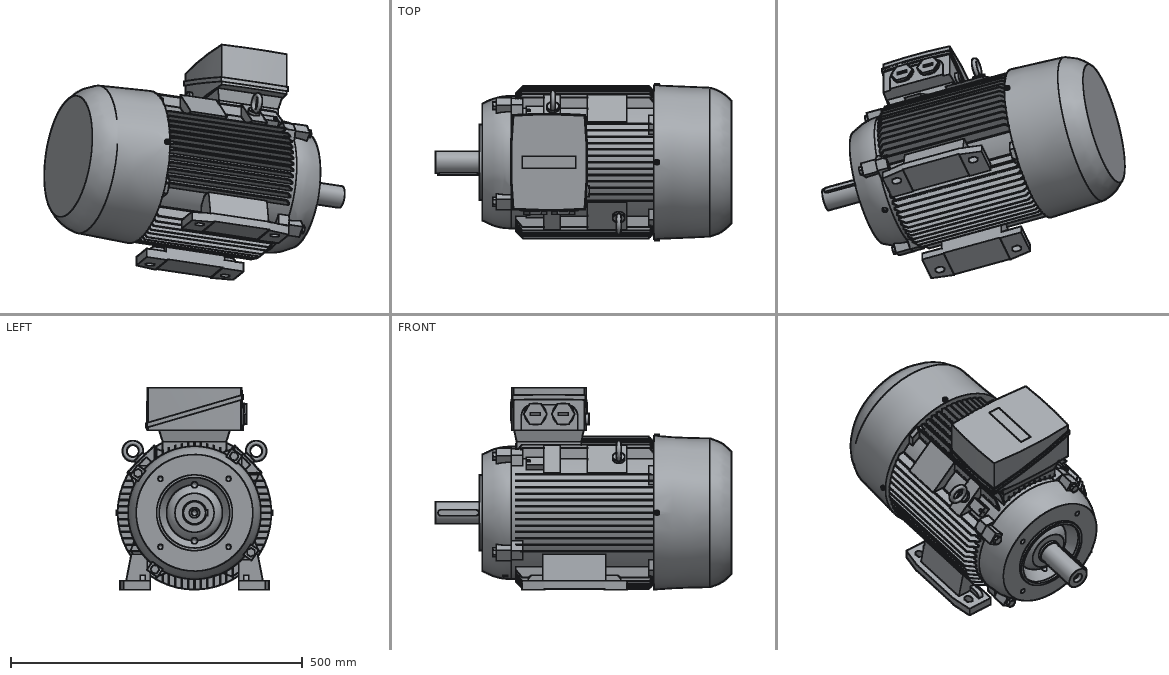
import cadquery as cq
import math


shaft_length = 80.0
shaft_radius = 19.0
shaft_collar_radius = 20.5
shaft_height = 132.0
shield_end = 50.5
housing_end = 294.5
cover_end = 428.0
core_radius = 114.0

flange_radius = 100.0
shield_mid_x = 24.3
shield_mid_radius = 110.5
spigot_radius = 65.0
spigot_height = 4.5
recess_mouth_radius = 60.5
recess_root_radius = 48.0
recess_depth = 20.0
recess_mouth_depth = 0.5
hub_bulge = 3.0
hub_radius = 33.5
hub_face_x = 5.0
flange_hole_diameter = 8.5
flange_hole_circle = 82.5
flange_hole_depth = 20.0
drain_hole_diameter = 9.0
drain_hole_x = 40.0
drain_hole_angle = -107.0
drain_hole_floor_radius = 106.0
recess_hole_diameter = 10.5
recess_hole_start = 8.0
recess_hole_depth = 28.0

lug_radius = 118.3
shield_lug_width = 22.0
housing_lug_tip_width = 19.0
housing_lug_flank_angle = 35.0
lug_tip_radius = 127.0
lug_root_radius = 90.0
front_lug_angle = 35.0
rear_lug_angle = 90.0 - front_lug_angle
front_lug_length = 19.6
rear_lug_length = 9.0
bolt_head_across_corners = 15.0
bolt_head_height = 5.8

fin_radius = 129.0
tall_fin_radius = 131.0
fin_thickness = 1.8
fin_pitch = 10.95
tall_fins_each_side = 1
fins_each_side = 6
fin_start = 57.6
fin_front_radius = 118.0
fin_rear_radius = 122.0

foot_plate_start = 68.2
foot_plate_length = 180.8
foot_plate_inner_y = 75.5
foot_plate_outer_y = 128.0
foot_plate_end_y = 121.4
foot_plate_thickness = 15.6
foot_block_start = 104.0
foot_block_end = 212.5
foot_block_top_z = -71.0
foot_block_top_y = 108.5
foot_block_bottom_y = 117.4
foot_relief_start = 107.5
foot_relief_end = 210.0
foot_relief_depth = 1.5
foot_hole_first_x = 89.0
foot_hole_spacing = 140.0
foot_hole_y = 108.0
foot_hole_diameter = 12.0
foot_hole_length = 16.0
foot_rib_inset = 11.0
foot_rib_height = 9.4
foot_rib_thickness = 8.6
foot_rib_inner_y = 84.6
foot_rib_end_radius = 8.5

pad_inner = 69.0
pad_outer = 115.5
pad_spans = [(106.0, 134.5), (180.7, 248.5)]
pad_face_distance = (pad_inner + pad_outer) / math.sqrt(2)
eye_ring_radius = 14.0
eye_wire_radius = 4.0
eye_center_distance = 149.6
eye_collar_radius = 10.4
eye_collar_thickness = 5.5
eye_left_x = 121.6
eye_right_x = 234.4
earth_block_start = 75.5
earth_block_end = pad_spans[0][0]
earth_block_face_distance = 125.9
earth_block_width = 18.6
earth_block_root_distance = 105.0
earth_hole_x = 80.0
earth_hole_diameter = 5.0
earth_hole_depth = 8.0

box_center_x = 114.8
box_half_x = 64.6
box_half_y = 81.6
box_bow_x = 4.0
box_bow_y = 2.2
box_top_z = 214.5
box_bottom_z = 141.3
neck_bottom_z = 121.5
neck_start_x = 59.4
neck_end_x = 170.0
neck_half_y = 54.6
neck_flare_x = 4.6
neck_flare_y = 6.2
rim_thickness = 8.0
rim_overhang = 1.8
rim_high_z = 202.5
rim_low_z = 153.6
label_length = 91.0
label_width = 20.6
label_depth = 0.5
gland_plate_start_x = 67.5
gland_plate_end_x = 164.0
gland_plate_top_z = 185.5
gland_plate_corner_radius = 20.0
gland_plate_face_y = -83.5
plug_centers_x = (91.5, 139.2)
plug_center_z = 169.3
plug_across_flats = 34.5
plug_washer_radius = 18.5
plug_washer_height = 1.5
plug_height = 6.0
plug_slot_length = 17.0
plug_slot_width = 4.0
plug_slot_depth = 2.0
side_plug_radius = 9.5
side_plug_y = -50.0
side_plug_z = 160.8
side_plug_end_x = 183.5

cover_front_radius = 132.0
cover_bend_x = 390.5
cover_bend_radius = 128.0
cover_end_radius = 105.0
cover_bulge = 3.2
cover_screw_x = 300.0
cover_screw_radius = 4.2
cover_screw_tip = 134.5
cover_screw_socket_across = 4.5
cover_screw_socket_depth = 1.5

center_hole_diameter = 10.2
center_hole_depth = 30.0
center_sink_diameter = 17.5
center_sink_depth = 6.0
key_length = 70.0
key_width = 10.0
key_height = 8.0
key_start = -75.5
key_top_radius = 22.3


def revolve_about_shaft(profile):
    """Revolve a closed (x, radius) profile about the X axis."""
    return profile.revolve(360, (0, 0, 0), (1, 0, 0))


def disc_along_x(radius, start, end, y=0.0, z=0.0):
    return cq.Workplane("YZ", origin=(start, y, z)).circle(radius).extrude(end - start)


def box_between(x_range, y_range, z_range):
    """Axis-aligned block from three (low, high) ranges."""
    low, high = zip(x_range, y_range, z_range)
    size = [b - a for a, b in zip(low, high)]
    return cq.Workplane("XY", origin=low).box(*size, centered=False)


def turned(body, degrees):
    """Turn a body about the shaft axis, from +Y towards +Z."""
    return body.rotate((0, 0, 0), (1, 0, 0), degrees)


def both_sides(body):
    """A body on the +Y side together with its mirror image."""
    return body.union(body.mirror("XZ"))


def drilled_hole(diameter, start, depth, y, z):
    """Drill along +X with a 90 degree point at the bottom."""
    radius = diameter / 2
    profile = (
        cq.Workplane("XY")
        .moveTo(start, 0)
        .lineTo(start, radius)
        .lineTo(start + depth, radius)
        .lineTo(start + depth + radius, 0)
        .close()
    )
    return revolve_about_shaft(profile).translate((0, y, z))


def four_around(body, first_angle):
    """The body and its copies at quarter turns about the shaft axis."""
    group = turned(body, first_angle)
    for quarter in range(1, 4):
        group = group.union(turned(body, first_angle + 90 * quarter))
    return group


def make_shaft():
    shaft = disc_along_x(shaft_radius, -shaft_length, 0)
    shaft = shaft.union(disc_along_x(shaft_collar_radius, 0, shield_end))
    shaft = shaft.cut(drilled_hole(center_hole_diameter, -shaft_length, center_hole_depth, 0, 0))
    sink = cq.Solid.makeCone(
        center_sink_diameter / 2,
        center_hole_diameter / 2,
        center_sink_depth,
        cq.Vector(-shaft_length, 0, 0),
        cq.Vector(1, 0, 0),
    )
    key = (
        cq.Workplane("XZ", origin=(key_start + key_length / 2, -key_top_radius, 0))
        .slot2D(key_length, key_width)
        .extrude(-key_height)
    )
    return shaft.cut(cq.Workplane(sink)).union(key)


def make_end_shield():
    hub_mid_x = (hub_face_x + recess_depth - hub_bulge) / 2
    hub_mid_radius = (hub_radius + recess_root_radius + hub_bulge) / 2
    profile = (
        cq.Workplane("XY")
        .moveTo(shield_end, shaft_collar_radius)
        .lineTo(hub_face_x, shaft_collar_radius)
        .lineTo(hub_face_x, hub_radius)
        .threePointArc((hub_mid_x, hub_mid_radius), (recess_depth, recess_root_radius))
        .lineTo(recess_mouth_depth, recess_mouth_radius)
        .lineTo(-spigot_height, recess_mouth_radius)
        .lineTo(-spigot_height, spigot_radius)
        .lineTo(0, spigot_radius)
        .lineTo(0, flange_radius)
        .threePointArc((shield_mid_x, shield_mid_radius), (shield_end, core_radius))
        .close()
    )
    shield = revolve_about_shaft(profile)

    lug = box_between(
        (shield_mid_x, shield_end),
        (lug_root_radius, lug_tip_radius),
        (-shield_lug_width / 2, shield_lug_width / 2),
    )
    shield_lugs = four_around(lug, front_lug_angle)
    shield_lugs = shield_lugs.cut(disc_along_x(flange_radius, 0, shield_end))
    shield = shield.union(shield_lugs)

    bolt_head = (
        cq.Workplane("YZ", origin=(shield_mid_x, lug_radius, 0))
        .polygon(6, bolt_head_across_corners)
        .extrude(-bolt_head_height)
    )
    shield = shield.union(four_around(bolt_head, front_lug_angle))

    flange_hole = drilled_hole(flange_hole_diameter, 0, flange_hole_depth, flange_hole_circle, 0)
    shield = shield.cut(four_around(flange_hole, 45))

    drain_hole = (
        cq.Workplane("XZ", origin=(drain_hole_x, drain_hole_floor_radius, 0))
        .circle(drain_hole_diameter / 2)
        .extrude(drain_hole_floor_radius - core_radius)
    )
    shield = shield.cut(turned(drain_hole, drain_hole_angle))

    for side in (1, -1):
        z = side * recess_root_radius
        shield = shield.cut(
            drilled_hole(recess_hole_diameter, recess_hole_start, recess_hole_depth, 0, z)
        )
    return shield


def make_fins(fin_indices, tip_radius):
    """Parallel fins on all four sides, counted from the middle one, in a turned envelope."""
    middle = (fin_start + housing_end) / 2
    upright = (
        cq.Workplane("XY", origin=(middle, 0, 0))
        .pushPoints([(0, index * fin_pitch) for index in fin_indices])
        .box(housing_end - fin_start, fin_thickness, 2 * tip_radius)
    )
    level = turned(upright, 90)
    envelope = (
        cq.Workplane("XY")
        .moveTo(fin_start, 0)
        .lineTo(fin_start, fin_front_radius)
        .lineTo(fin_start + tip_radius - fin_front_radius, tip_radius)
        .lineTo(housing_end - (tip_radius - fin_rear_radius), tip_radius)
        .lineTo(housing_end, fin_rear_radius)
        .lineTo(housing_end, 0)
        .close()
    )
    return upright.union(level).intersect(revolve_about_shaft(envelope))


def make_housing_lugs(first_angle, start, length):
    """Four lugs that flare towards the housing core."""
    half_tip = housing_lug_tip_width / 2
    flare = (lug_tip_radius - lug_root_radius) * math.tan(math.radians(housing_lug_flank_angle))
    half_root = half_tip + flare
    lug = (
        cq.Workplane("YZ", origin=(start, 0, 0))
        .moveTo(lug_root_radius, -half_root)
        .lineTo(lug_tip_radius, -half_tip)
        .lineTo(lug_tip_radius, half_tip)
        .lineTo(lug_root_radius, half_root)
        .close()
        .extrude(length)
    )
    return four_around(lug, first_angle)


def make_foot():
    """Foot on the +Y side."""
    plate_end = foot_plate_start + foot_plate_length
    plate_top = -shaft_height + foot_plate_thickness
    plate = (
        cq.Workplane("XY", origin=(0, 0, -shaft_height))
        .moveTo(foot_plate_start, foot_plate_inner_y)
        .lineTo(foot_plate_start, foot_plate_end_y)
        .lineTo(foot_relief_start, foot_plate_outer_y)
        .lineTo(foot_relief_end, foot_plate_outer_y)
        .lineTo(plate_end, foot_plate_end_y)
        .lineTo(plate_end, foot_plate_inner_y)
        .close()
        .extrude(foot_plate_thickness)
    )
    relief = box_between(
        (foot_relief_start, foot_relief_end),
        (foot_plate_inner_y, foot_plate_outer_y),
        (-shaft_height, -shaft_height + foot_relief_depth),
    )
    holes = (
        cq.Workplane("XY", origin=(0, 0, -shaft_height))
        .pushPoints(
            [(foot_hole_first_x, foot_hole_y), (foot_hole_first_x + foot_hole_spacing, foot_hole_y)]
        )
        .slot2D(foot_hole_length, foot_hole_diameter)
        .extrude(foot_plate_thickness)
    )
    block = (
        cq.Workplane("YZ", origin=(foot_block_start, 0, 0))
        .moveTo(foot_plate_inner_y, plate_top)
        .lineTo(foot_block_bottom_y, plate_top)
        .lineTo(foot_block_top_y, foot_block_top_z)
        .lineTo(foot_plate_inner_y, foot_block_top_z)
        .close()
        .extrude(foot_block_end - foot_block_start)
    )
    rib = box_between(
        (foot_plate_start + foot_rib_inset, plate_end - foot_rib_inset),
        (foot_rib_inner_y, foot_rib_inner_y + foot_rib_thickness),
        (plate_top, plate_top + foot_rib_height),
    )
    rib = rib.edges("|Y and >Z").fillet(foot_rib_end_radius)
    return plate.cut(relief).cut(holes).union(block).union(rib)


def make_eye_pad(start, end):
    """Corner pad with a 45 degree face, on the +Y side."""
    return (
        cq.Workplane("YZ", origin=(start, 0, 0))
        .moveTo(pad_inner, pad_inner)
        .lineTo(pad_outer, pad_inner)
        .lineTo(pad_inner, pad_outer)
        .close()
        .extrude(end - start)
    )


def make_earth_block():
    """Earthing block on the +Y side, standing on the 45 degree diagonal."""
    half_width = earth_block_width / 2
    block = box_between(
        (earth_block_start, earth_block_end),
        (earth_block_root_distance, earth_block_face_distance),
        (-half_width, half_width),
    )
    hole = (
        cq.Workplane("XZ", origin=(earth_hole_x, earth_block_face_distance, 0))
        .circle(earth_hole_diameter / 2)
        .extrude(earth_hole_depth)
    )
    return turned(block.cut(hole), 45)


def make_housing():
    housing = disc_along_x(core_radius, shield_end, housing_end)
    all_fins = range(-fins_each_side, fins_each_side + 1)
    tall_fins = [index for index in all_fins if abs(index) <= tall_fins_each_side]
    low_fins = [index for index in all_fins if abs(index) > tall_fins_each_side]
    housing = housing.union(make_fins(low_fins, fin_radius))
    housing = housing.union(make_fins(tall_fins, tall_fin_radius))
    housing = housing.union(make_housing_lugs(front_lug_angle, shield_end, front_lug_length))
    rear_lug_start = housing_end - rear_lug_length
    housing = housing.union(make_housing_lugs(rear_lug_angle, rear_lug_start, rear_lug_length))
    box_seat = box_between(
        (neck_start_x, neck_end_x), (-neck_half_y, neck_half_y), (0, neck_bottom_z)
    )
    housing = housing.union(box_seat)
    for start, end in pad_spans:
        housing = housing.union(both_sides(make_eye_pad(start, end)))
    housing = housing.union(both_sides(make_earth_block()))
    housing = housing.union(both_sides(make_foot()))
    return housing.cut(make_neck())


def bowed_prism(overhang, bottom, top):
    """Upright prism whose four sides bulge gently outwards."""
    crown_x = box_half_x + overhang
    crown_y = box_half_y + overhang
    corner_x = crown_x - box_bow_x
    corner_y = crown_y - box_bow_y
    return (
        cq.Workplane("XY", origin=(box_center_x, 0, bottom))
        .moveTo(-corner_x, -corner_y)
        .threePointArc((0, -crown_y), (corner_x, -corner_y))
        .threePointArc((crown_x, 0), (corner_x, corner_y))
        .threePointArc((0, crown_y), (-corner_x, corner_y))
        .threePointArc((-crown_x, 0), (-corner_x, -corner_y))
        .close()
        .extrude(top - bottom)
    )


def make_sloping_rim():
    """Rim between lid and lower case, falling from the -Y side to the +Y side."""
    reach = box_half_y + rim_overhang
    slab = (
        cq.Workplane("YZ")
        .moveTo(-reach, rim_high_z)
        .lineTo(reach, rim_low_z)
        .lineTo(reach, rim_low_z - rim_thickness)
        .lineTo(-reach, rim_high_z - rim_thickness)
        .close()
        .extrude(2 * (box_center_x + box_half_x))
    )
    return bowed_prism(rim_overhang, box_bottom_z, box_top_z).intersect(slab)


def make_neck():
    """Flared neck that carries the box above its seat on the housing."""
    length = neck_end_x - neck_start_x
    middle = (neck_start_x + neck_end_x) / 2
    return (
        cq.Workplane("XY", origin=(middle, 0, neck_bottom_z))
        .rect(length, 2 * neck_half_y)
        .workplane(offset=box_bottom_z - neck_bottom_z)
        .rect(length + 2 * neck_flare_x, 2 * (neck_half_y + neck_flare_y))
        .loft()
    )


def make_gland_plate():
    """Raised plate with two hexagonal plugs on the -Y side."""
    plate = box_between(
        (gland_plate_start_x, gland_plate_end_x),
        (gland_plate_face_y, 0),
        (box_bottom_z, gland_plate_top_z),
    )
    plate = plate.edges("|Y and >Z").fillet(gland_plate_corner_radius)
    centers = [(x, plug_center_z) for x in plug_centers_x]
    plugs = (
        cq.Workplane("XZ", origin=(0, gland_plate_face_y, 0))
        .pushPoints(centers)
        .polygon(6, plug_across_flats / math.cos(math.pi / 6))
        .extrude(plug_height)
    )
    washers = (
        cq.Workplane("XZ", origin=(0, gland_plate_face_y, 0))
        .pushPoints(centers)
        .circle(plug_washer_radius)
        .extrude(plug_washer_height)
    )
    slots = (
        cq.Workplane("XZ", origin=(0, gland_plate_face_y - plug_height, 0))
        .pushPoints(centers)
        .rect(plug_slot_length, plug_slot_width)
        .extrude(-plug_slot_depth)
    )
    return plate.union(washers).union(plugs).cut(slots)


def make_terminal_box():
    box = bowed_prism(0, box_bottom_z, box_top_z)
    box = box.union(make_sloping_rim())
    box = box.union(make_neck())
    box = box.union(make_gland_plate())
    box = box.union(
        disc_along_x(side_plug_radius, box_center_x, side_plug_end_x, side_plug_y, side_plug_z)
    )
    label = (
        cq.Workplane("XY", origin=(box_center_x, 0, box_top_z))
        .rect(label_length, label_width)
        .extrude(-label_depth)
    )
    return box.cut(label)


def make_fan_cover():
    mid_x = (cover_bend_x + cover_end) / 2 + cover_bulge / 2
    mid_radius = (cover_bend_radius + cover_end_radius) / 2 + cover_bulge
    profile = (
        cq.Workplane("XY")
        .moveTo(housing_end, 0)
        .lineTo(housing_end, cover_front_radius)
        .lineTo(cover_bend_x, cover_bend_radius)
        .threePointArc((mid_x, mid_radius), (cover_end, cover_end_radius))
        .lineTo(cover_end, 0)
        .close()
    )
    cover = revolve_about_shaft(profile)
    screw = (
        cq.Workplane("XZ", origin=(cover_screw_x, cover_screw_tip, 0))
        .circle(cover_screw_radius)
        .extrude(cover_screw_tip - core_radius)
    )
    socket = (
        cq.Workplane("XZ", origin=(cover_screw_x, cover_screw_tip, 0))
        .polygon(6, cover_screw_socket_across)
        .extrude(cover_screw_socket_depth)
    )
    for angle in (0, 90, 180):
        cover = cover.union(turned(screw, angle)).cut(turned(socket, angle))
    return cover


def make_eyebolt(x, angle):
    """Ring and collar standing on an eye pad, at an angle from +Y."""
    ring = cq.Workplane(
        cq.Solid.makeTorus(
            eye_ring_radius,
            eye_wire_radius,
            cq.Vector(x, eye_center_distance, 0),
            cq.Vector(1, 0, 0),
        )
    )
    collar = (
        cq.Workplane("XZ", origin=(x, pad_face_distance, 0))
        .circle(eye_collar_radius)
        .extrude(-eye_collar_thickness)
    )
    return turned(ring.union(collar), angle)


shaft = make_shaft()
end_shield = make_end_shield()
housing = make_housing()
terminal_box = make_terminal_box()
fan_cover = make_fan_cover()
eyebolts = [make_eyebolt(eye_left_x, 45), make_eyebolt(eye_right_x, 135)]

bodies = [shaft, end_shield, housing, terminal_box, fan_cover, *eyebolts]
result = cq.Compound.makeCompound([body.solids().val() for body in bodies])